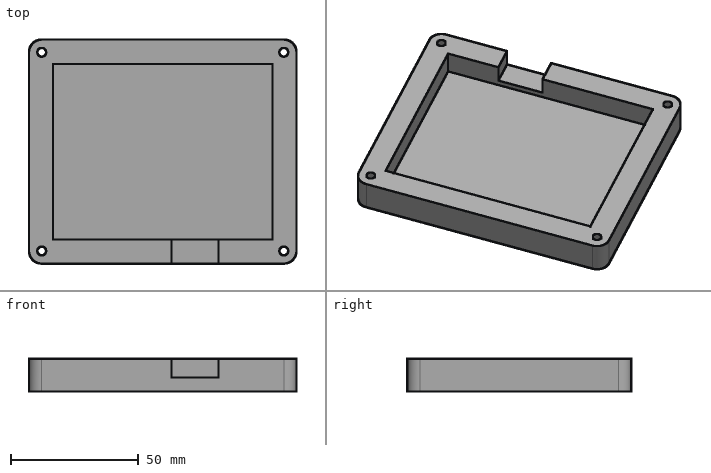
import cadquery as cq

length = 105.0
width = 88.0
height = 13.0
corner_radius = 5.0

wall = 9.6
pocket_depth = 10.0
pocket_length = length - 2 * wall
pocket_width = width - 2 * wall

notch_width = 18.5
notch_depth = 7.5
notch_center_x = 12.6

hole_diameter = 3.4
hole_spacing_x = length - 2 * corner_radius
hole_spacing_y = width - 2 * corner_radius


def make_body():
    """Flat block with rounded vertical corners, standing on Z = 0."""
    block = cq.Workplane("XY").box(length, width, height, centered=(True, True, False))
    return block.edges("|Z").fillet(corner_radius)


def make_pocket():
    """Volume removed from the top to form the tray."""
    return (
        cq.Workplane("XY", origin=(0, 0, height))
        .rect(pocket_length, pocket_width)
        .extrude(-pocket_depth)
    )


def make_notch():
    """Volume removed from the front wall, from the outside to the pocket."""
    front_wall_center_y = -(width - wall) / 2
    return (
        cq.Workplane("XY", origin=(notch_center_x, front_wall_center_y, height))
        .rect(notch_width, wall)
        .extrude(-notch_depth)
    )


def make_screw_holes():
    """Four through holes, one at each corner."""
    return (
        cq.Workplane("XY")
        .rect(hole_spacing_x, hole_spacing_y, forConstruction=True)
        .vertices()
        .circle(hole_diameter / 2)
        .extrude(height)
    )


result = make_body().cut(make_pocket()).cut(make_notch()).cut(make_screw_holes())